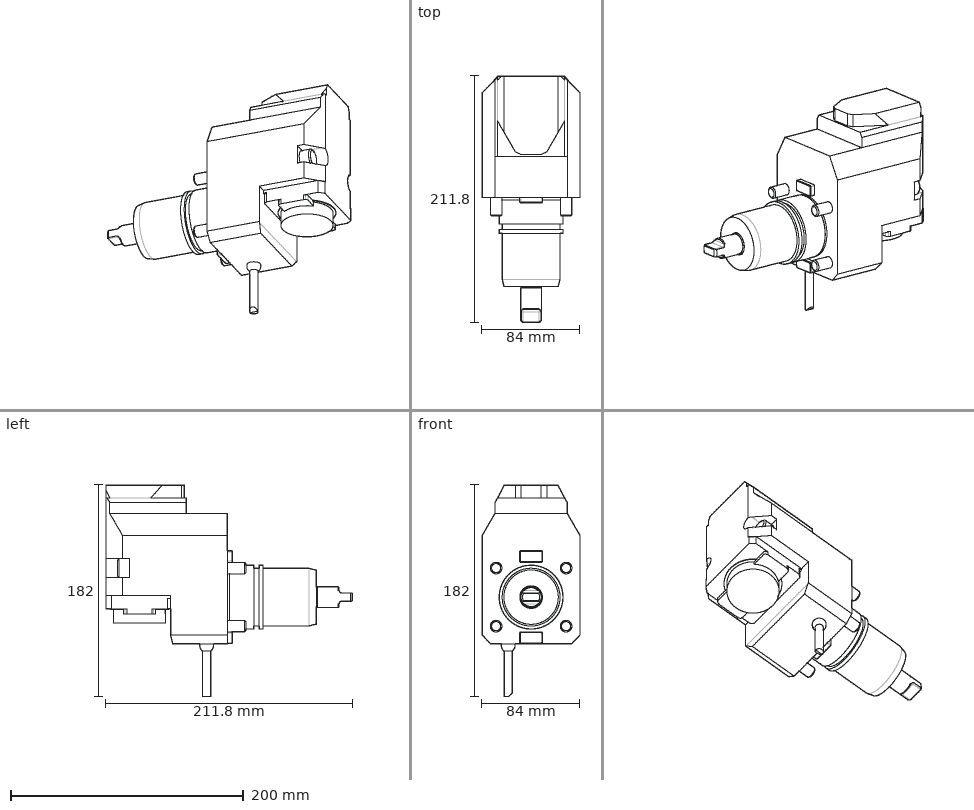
import cadquery as cq
import math


OVERALL_LENGTH = 211.8
OVERALL_HEIGHT = 182.0

WIDTH = 84.0
HALF_WIDTH = WIDTH / 2
BACK_Y = 104.5
BOTTOM_Z = -40.2
BOTTOM_CHAMFER_X = 7.2
BOTTOM_CHAMFER_Z = 7.6
SLOPE_START_Z = 53.2
SHOULDER_Z = 72.0
BACK_CORNER_CHAMFER = 14.2
FOOT_DEPTH = 48.7
OVERHANG_Z = 1.3
FOOT_BACK_CHAMFER_Y = 1.7
FOOT_BACK_CHAMFER_Z = 6.8

HEAD_HALF_WIDTH = 31.1
HEAD_FRONT_Y = 35.2
HEAD_EDGE_Z = 81.3
HEAD_TOP_Z = 85.4
HEAD_TOP_HALF_WIDTH = 28.8
CAP_TOP_Z = 96.4
CAP_TOP_HALF_WIDTH = 23.0
CAP_FRONT_Y = 37.0
CAP_FRONT_HALF_WIDTH = 8.7
CAP_CORNER_X = 4.9
CAP_CORNER_Y = 2.3
CAP_FLANK_ANGLE = 60
CAP_BACK_CHAMFER = 3.4

OUTLET_Y = 75.6
PLATE_DIAMETER = 81.3
PLATE_WIDTH = 65.7
PLATE_BOTTOM_Z = -10.2
PLATE_LIP_HEIGHT = 2.5
TAB_DIAMETER = 69.0
TAB_DEPTH = 27.3
TAB_CORNER_RADIUS = 2.1
TAB_BOTTOM_Z = -14.6
COLLAR_DIAMETER = 49.8
COLLAR_HEIGHT = 0.6
NOSE_DIAMETER = 45.0
NOSE_BOTTOM_Z = -22.5

SPIGOT_DIAMETER = 49.8
RING_DIAMETER = 55.0
NECK_DIAMETER = 54.6
NECK_END_Y = -2.0
FLANGE_END_Y = -22.9
RING_START_Y = -27.3
RING_END_Y = -30.7
TAPER_START_Y = -70.3
SPIGOT_END_Y = -76.5
SPIGOT_END_DIAMETER = 46.8
BORE_DIAMETER = 19.5
BORE_DEPTH = 2.1

SHAFT_DIAMETER = 18.0
SHAFT_NECK_LENGTH = 1.0
SHAFT_SHOULDER_Y = SPIGOT_END_Y - SHAFT_NECK_LENGTH
SHAFT_SHOULDER_CHAMFER = 0.5
TANG_START_Y = -96.2
TANG_THICKNESS = 7.5
TANG_FLAT_WIDTH = 14.0
TANG_EDGE_Z = 3.2
TANG_SHOULDER_CHAMFER = 0.8
TANG_TIP_CHAMFER = 0.6
TANG_ROOT_RADIUS = 2.1
TIP_Y = BACK_Y - OVERALL_LENGTH
TIP_CHAMFER = 1.7

SCREW_X = 30.0
SCREW_Z = 25.0
SCREW_DIAMETER = 10.0
SCREW_LENGTH = 15.9
SCREW_CHAMFER = 1.0
SCREW_HEAD_DIAMETER = 16.0
SCREW_HEAD_HEIGHT = 10.0
SCREW_HEAD_CHAMFER = 1.3
SCREW_SEAT_DIAMETER = 16.5
SCREW_SEAT_Y = 84.3
KEY_WIDTH = 19.7
KEY_HEIGHT = 10.0
KEY_Z = 35.0
KEY_PROJECTION = 4.5
KEY_CHAMFER = 0.6
KEY_CORNER_RADIUS = 1.0

PIPE_X = -19.7
PIPE_Y = 17.8
PIPE_DIAMETER = 7.2
PIPE_END_Z = CAP_TOP_Z - OVERALL_HEIGHT
PIPE_CHAMFER = 3.4
BALL_DIAMETER = 12.0
BALL_DROP = 1.3


def extrude_y(points, y_start, y_end):
    """Extrude an outline of (x, z) points from y_start to y_end."""
    sketch = cq.Workplane("XZ", origin=(0, y_start, 0)).polyline(points).close()
    return sketch.extrude(y_start - y_end)


def prism_z(points, z_start, z_end):
    """Extrude an outline of (x, y) points from z_start to z_end."""
    sketch = cq.Workplane("XY", origin=(0, 0, z_start)).polyline(points).close()
    return sketch.extrude(z_end - z_start)


def revolve_y(points):
    """Turn an outline of (radius, y) points about the Y axis."""
    return cq.Workplane("XY").polyline(points).close().revolve(360, (0, 0, 0), (0, 1, 0))


def cylinder_y(diameter, y_start, y_end, x=0, z=0):
    circle = cq.Workplane("XZ", origin=(x, y_start, z)).circle(diameter / 2)
    return circle.extrude(y_start - y_end)


def cylinder_z(diameter, x, y, z_start, z_end):
    circle = cq.Workplane("XY", origin=(x, y, z_start)).circle(diameter / 2)
    return circle.extrude(z_end - z_start)


def box(x_range, y_range, z_range):
    """Box given by its lower and upper limits on each axis."""
    limits = (x_range, y_range, z_range)
    sizes = [high - low for low, high in limits]
    corner = tuple(low for low, high in limits)
    return cq.Workplane("XY").box(*sizes, centered=False).translate(corner)


def mirrored(right_half):
    """Close an outline by adding the mirror image of its +X half."""
    return right_half + [(-x, other) for x, other in reversed(right_half)]


def make_housing():
    main = extrude_y(mirrored([
        (HALF_WIDTH - BOTTOM_CHAMFER_X, BOTTOM_Z),
        (HALF_WIDTH, BOTTOM_Z + BOTTOM_CHAMFER_Z),
        (HALF_WIDTH, SLOPE_START_Z),
        (HEAD_HALF_WIDTH, SHOULDER_Z),
    ]), 0, BACK_Y)
    head = extrude_y(mirrored([
        (HEAD_HALF_WIDTH, SHOULDER_Z),
        (HEAD_HALF_WIDTH, HEAD_EDGE_Z),
        (HEAD_TOP_HALF_WIDTH, HEAD_TOP_Z),
    ]), HEAD_FRONT_Y, BACK_Y)
    plan = prism_z(mirrored([
        (HALF_WIDTH, 0),
        (HALF_WIDTH, BACK_Y - BACK_CORNER_CHAMFER),
        (HALF_WIDTH - BACK_CORNER_CHAMFER, BACK_Y),
    ]), BOTTOM_Z, HEAD_TOP_Z)

    side_profile = [
        (0, BOTTOM_Z),
        (FOOT_DEPTH - FOOT_BACK_CHAMFER_Y, BOTTOM_Z),
        (FOOT_DEPTH, BOTTOM_Z + FOOT_BACK_CHAMFER_Z),
        (FOOT_DEPTH, OVERHANG_Z),
        (BACK_Y, OVERHANG_Z),
        (BACK_Y, HEAD_TOP_Z),
        (0, HEAD_TOP_Z),
    ]
    side = cq.Workplane("YZ", origin=(-HALF_WIDTH, 0, 0)).polyline(side_profile).close().extrude(WIDTH)
    return main.union(head).intersect(plan).intersect(side)


def make_cap():
    flank_x = CAP_FRONT_HALF_WIDTH + CAP_CORNER_X
    flank_y = CAP_FRONT_Y + CAP_CORNER_Y
    flank_rise = (HEAD_TOP_HALF_WIDTH - flank_x) * math.tan(math.radians(CAP_FLANK_ANGLE))
    nose_plan = mirrored([
        (CAP_FRONT_HALF_WIDTH, CAP_FRONT_Y),
        (flank_x, flank_y),
        (HEAD_TOP_HALF_WIDTH, flank_y + flank_rise),
        (HEAD_TOP_HALF_WIDTH, BACK_Y - CAP_BACK_CHAMFER),
        (HEAD_TOP_HALF_WIDTH - CAP_BACK_CHAMFER, BACK_Y),
    ])
    tapered = extrude_y(mirrored([
        (HEAD_TOP_HALF_WIDTH, HEAD_TOP_Z),
        (CAP_TOP_HALF_WIDTH, CAP_TOP_Z),
    ]), CAP_FRONT_Y, BACK_Y)
    return prism_z(nose_plan, HEAD_TOP_Z, CAP_TOP_Z).intersect(tapered)


def make_outlet():
    flats = (-PLATE_WIDTH / 2, PLATE_WIDTH / 2)
    to_back = (FOOT_DEPTH, BACK_Y)
    plate = cylinder_z(PLATE_DIAMETER, 0, OUTLET_Y, PLATE_BOTTOM_Z, OVERHANG_Z)
    plate = plate.intersect(box(flats, to_back, (PLATE_BOTTOM_Z, OVERHANG_Z)))
    lip = box(flats, (FOOT_DEPTH, OUTLET_Y), (OVERHANG_Z - PLATE_LIP_HEIGHT, OVERHANG_Z))
    tab_span = (OUTLET_Y - TAB_DEPTH / 2, OUTLET_Y + TAB_DEPTH / 2)
    tab = cylinder_z(TAB_DIAMETER, 0, OUTLET_Y, TAB_BOTTOM_Z, PLATE_BOTTOM_Z)
    tab_reach = (-TAB_DIAMETER, TAB_DIAMETER)
    tab = tab.intersect(box(tab_reach, tab_span, (TAB_BOTTOM_Z, PLATE_BOTTOM_Z)))
    tab = tab.edges("|Z").fillet(TAB_CORNER_RADIUS)
    tab = tab.intersect(box(flats, tab_span, (TAB_BOTTOM_Z, PLATE_BOTTOM_Z)))
    collar = cylinder_z(COLLAR_DIAMETER, 0, OUTLET_Y, PLATE_BOTTOM_Z - COLLAR_HEIGHT, PLATE_BOTTOM_Z)
    nose = cylinder_z(NOSE_DIAMETER, 0, OUTLET_Y, NOSE_BOTTOM_Z, PLATE_BOTTOM_Z)
    return plate.union(lip).union(tab).union(collar).union(nose)


def make_spigot():
    profile = [
        (0, 0),
        (NECK_DIAMETER / 2, 0),
        (NECK_DIAMETER / 2, NECK_END_Y),
        (RING_DIAMETER / 2, NECK_END_Y),
        (RING_DIAMETER / 2, FLANGE_END_Y),
        (SPIGOT_DIAMETER / 2, FLANGE_END_Y),
        (SPIGOT_DIAMETER / 2, RING_START_Y),
        (RING_DIAMETER / 2, RING_START_Y),
        (RING_DIAMETER / 2, RING_END_Y),
        (SPIGOT_DIAMETER / 2, RING_END_Y),
        (SPIGOT_DIAMETER / 2, TAPER_START_Y),
        (SPIGOT_END_DIAMETER / 2, SPIGOT_END_Y),
        (BORE_DIAMETER / 2, SPIGOT_END_Y),
        (BORE_DIAMETER / 2, SPIGOT_END_Y + BORE_DEPTH),
        (0, SPIGOT_END_Y + BORE_DEPTH),
    ]
    return revolve_y(profile)


def make_shaft():
    radius = SHAFT_DIAMETER / 2
    neck_radius = radius - SHAFT_SHOULDER_CHAMFER
    profile = [
        (0, SPIGOT_END_Y + BORE_DEPTH),
        (neck_radius, SPIGOT_END_Y + BORE_DEPTH),
        (neck_radius, SHAFT_SHOULDER_Y + SHAFT_SHOULDER_CHAMFER),
        (radius, SHAFT_SHOULDER_Y),
        (radius, TIP_Y + TIP_CHAMFER),
        (radius - TIP_CHAMFER, TIP_Y),
        (0, TIP_Y),
    ]
    shaft = revolve_y(profile)

    tang_z = TANG_THICKNESS / 2
    cut = extrude_y(mirrored([
        (TANG_FLAT_WIDTH / 2, tang_z),
        (radius, TANG_EDGE_Z),
        (radius, SHAFT_DIAMETER),
    ]), TIP_Y, TANG_START_Y)
    root = cut.faces(">Y").edges("not (>Z or |Z)")
    cut = root.fillet(TANG_ROOT_RADIUS)
    shaft = shaft.cut(cut).cut(cut.mirror("XY"))

    bevel = revolve_y([
        (radius, TANG_START_Y),
        (radius, TANG_START_Y + TANG_SHOULDER_CHAMFER),
        (radius - TANG_SHOULDER_CHAMFER, TANG_START_Y),
    ])
    root_z = tang_z + TANG_ROOT_RADIUS
    kept = box((-radius, radius), (TIP_Y, SPIGOT_END_Y), (-root_z, root_z))
    shaft = shaft.cut(bevel.cut(kept))

    return shaft.faces("<Y").edges(">Z or <Z").chamfer(TANG_TIP_CHAMFER)


def make_keys():
    keys = cq.Workplane("XY")
    for z in (-KEY_Z, KEY_Z):
        key = box(
            (-KEY_WIDTH / 2, KEY_WIDTH / 2),
            (-KEY_PROJECTION, 0),
            (z - KEY_HEIGHT / 2, z + KEY_HEIGHT / 2),
        )
        key = key.edges("|Y").fillet(KEY_CORNER_RADIUS)
        keys = keys.add(key.faces("<Y").chamfer(KEY_CHAMFER))
    return keys.combine()


def make_screw_ends():
    ends = cq.Workplane("XY")
    for x in (-SCREW_X, SCREW_X):
        for z in (-SCREW_Z, SCREW_Z):
            end = cylinder_y(SCREW_DIAMETER, 0, -SCREW_LENGTH, x, z)
            ends = ends.add(end.faces("<Y").chamfer(SCREW_CHAMFER))
    return ends.combine()


def screw_seat(side):
    """Counterbore for an upper screw head, open towards the side and the back."""
    half_height = SCREW_SEAT_DIAMETER / 2
    seat = cylinder_y(SCREW_SEAT_DIAMETER, SCREW_SEAT_Y, BACK_Y, side * SCREW_X, SCREW_Z)
    x_range = sorted((side * SCREW_X, side * HALF_WIDTH))
    opening = box(x_range, (SCREW_SEAT_Y, BACK_Y), (SCREW_Z - half_height, SCREW_Z + half_height))
    return seat.union(opening)


def screw_head(side):
    head_end = SCREW_SEAT_Y + SCREW_HEAD_HEIGHT
    head = cylinder_y(SCREW_HEAD_DIAMETER, SCREW_SEAT_Y, head_end, side * SCREW_X, SCREW_Z)
    return head.faces(">Y").chamfer(SCREW_HEAD_CHAMFER)


def make_pipe():
    pipe = cylinder_z(PIPE_DIAMETER, PIPE_X, PIPE_Y, PIPE_END_Z, BOTTOM_Z)
    right_x = PIPE_X + PIPE_DIAMETER / 2
    bevel = extrude_y([
        (right_x, PIPE_END_Z),
        (right_x - PIPE_CHAMFER, PIPE_END_Z),
        (right_x, PIPE_END_Z + PIPE_CHAMFER),
    ], PIPE_Y - PIPE_DIAMETER, PIPE_Y + PIPE_DIAMETER)
    ball = cq.Workplane("XY", origin=(PIPE_X, PIPE_Y, BOTTOM_Z - BALL_DROP)).sphere(BALL_DIAMETER / 2)
    return pipe.cut(bevel).union(ball)


result = make_housing().union(make_cap()).union(make_outlet())
for side in (-1, 1):
    result = result.cut(screw_seat(side)).union(screw_head(side))
for feature in (make_spigot(), make_shaft(), make_keys(), make_screw_ends(), make_pipe()):
    result = result.union(feature)